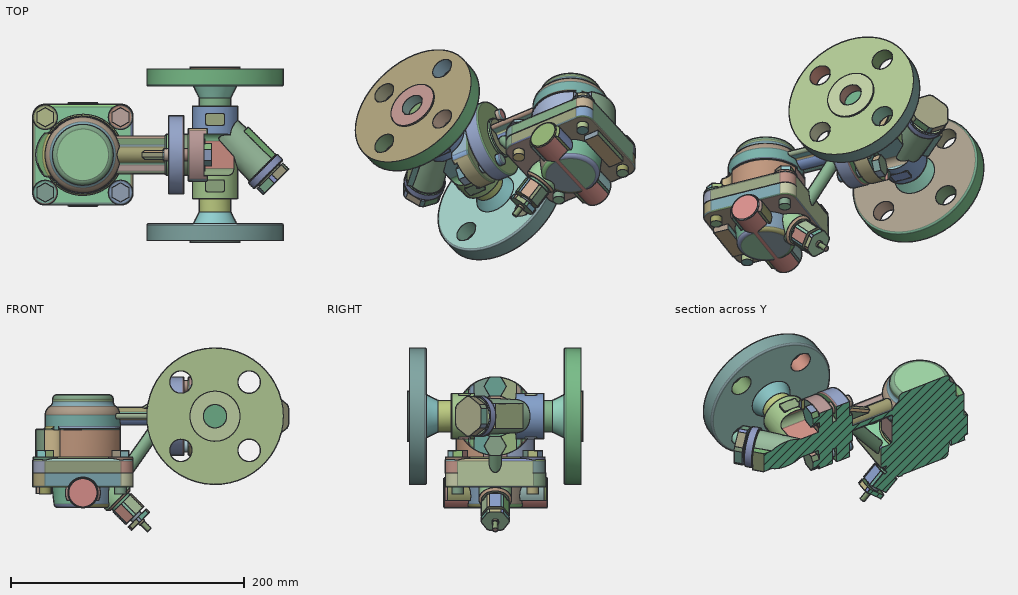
import cadquery as cq
import math


FACE_Y = 75.0
FLANGE_DIA = 117.0
RAISED_FACE_DIA = 42.9
RAISED_FACE_HEIGHT = 1.5
FLANGE_BACK_Y = 58.9
FLANGE_EDGE_FILLET = 1.5
FLANGE_HOLE_DIA = 19.0
FLANGE_HOLE_CIRCLE = 82.6
FLANGE_HOLE_COUNT = 4
BORE_DIA = 20.0
BORE_DEPTH = 10.5
NECK_DIA = 27.2
NECK_ROOT_DIA = 37.2
NECK_CONE_END_Y = 48.8
PIPE_START_Y = 30.0

BODY_DIA = 39.0
BODY_FRONT_Y = -37.7
BODY_BACK_Y = 41.9
BODY_END_CHAMFER = 0.5
PAD_X, PAD_Y, PAD_CORNER = 16.0, 10.3, 1.5
PAD_CENTERS_Y = (30.4, -26.5)
WAIST_HALF_HEIGHT = 11.0
WAIST_HALF_LENGTH = 17.7
WAIST_FILLET = 6.0

BRANCH_AXIS_OFFSET_Y = 29.1
BRANCH_ROOT = -8.0
BRANCH_SEAM = 36.6
COLLAR_END = 44.4
CAP_START = 46.0
CAP_END = 53.3
BRANCH_ROOT_RADIUS = 14.2
BRANCH_SEAM_RADIUS = 15.8
COLLAR_DIA = 35.0
COLLAR_CHAMFER = 0.8
GASKET_DIA = 25.0
CAP_FLATS = 31.0
CAP_TURNED_DIA = 33.8
LABEL_INNER, LABEL_OUTER = 11.2, 16.4
LABEL_START, LABEL_WIDTH = 3.2, 21.4

JOINT_RADIUS = 33.6
TRAP_PLATE_X = (-40.0, -26.6)
BODY_PLATE_X = (-23.0, -6.5)
BODY_PLATE_HALF_WIDTH = 22.7
BODY_PLATE_CORNER = 5.0
JOINT_EDGE_FILLET = 1.0
HUB_DIA = 35.4
HUB_START_X = -42.7
JOINT_BOLT_DIA = 10.5
JOINT_BOLT_START_X = -44.4
JOINT_BOLT_Z = 25.5
JOINT_HEAD_FLATS = 16.5
JOINT_HEAD_X = (-9.5, -3.1)
JOINT_HEAD_SLOT_HALF_WIDTH = 18.0

TRAP_X = -113.1
ARM_DIA = 15.4
ARM_WEB_WIDTH, ARM_WEB_THICKNESS, ARM_FILLET = 32.6, 4.9, 2.0
RIB_WIDTH, RIB_CHAMFER = 7.6, 2.0
RIB_TIP_X, RIB_FOOT_X, RIB_TOP_Z = -62.5, -44.5, 18.0
STRUT_DIA = 11.0
STRUT_TOP = (-42.4, 0.9)
STRUT_FOOT = (-77.9, -49.7)

DOME_TOP_Z = 18.5
CAP_FLAT_RADIUS = 22.0
CAP_RADIUS = 26.1
CAP_RIM_Z = 12.5
SHOULDER_START_RADIUS, SHOULDER_START_Z = 28.3, 8.5
DOME_RADIUS = 32.4
DOME_SIDE_TOP_Z = 1.0
DOME_ARC_RADIUS = 9.5
CAP_NECK_RADIUS = 4.5
HOUSING_TOP_Z = -11.0
HOUSING_RADIUS = 33.5
HOUSING_FILLET = 1.0
HOUSING_FLAT_X = 32.0
HOUSING_FOOT = 1.3
DOME_FLARE = 2.2
BULGE_RADIUS = 26.6
BULGE_OFFSET_X = -13.8
BOLT_CLEARANCE_DIA = 27.0

COVER_SIZE = 86.0
COVER_CORNER = 10.5
COVER_TOP_Z = -36.4
COVER_SPLIT_Z = -48.6
COVER_BOTTOM_Z = -60.6
LOWER_SHIFT_Y = 0.4
COVER_TOP_FILLET = 2.0
COVER_BOTTOM_FILLET = 0.8
BOLT_OFFSET = 32.2
BOLT_SEAT_DIA = 21.0
BOLT_SEAT_Z = -34.9
BOLT_SEAT_FILLET = 0.8
BOLT_HEAD_FLATS = 14.3
BOLT_HEAD_TOP_Z = -29.5
BOLT_DIA = 10.0
BOLT_END_Z = -66.7

BOWL_TOP_RADIUS = 26.6
BOWL_BOTTOM_RADIUS = 24.4
BOWL_BOTTOM_Z = -78.3
BOWL_FILLET = 3.5
LUG_OUTER_X, LUG_INNER_X = -153.2, -139.6
LUG_WIDTH = 40.0
LUG_BOTTOM_Z = -66.2
PORT_DIA = 25.8
PORT_Z = -65.5
PORT_HALF_LENGTH = 44.5
PORT_CHAMFER = 0.8
PORT_FLARE_DIA = 30.0
PORT_FLARE_FOOT_Z = -72.0
PORT_FLARE_DEPTH = 2.3

DRAIN_AXIS_SUM = -153.6
DRAIN_BOSS_START = -26.0
DRAIN_BOSS_END = -6.2
DRAIN_NUT_START = -3.8
DRAIN_NUT_END = 11.6
LOCKNUT_START = 14.4
LOCKNUT_END = 18.6
STEM_SHOULDER_END = 20.5
STEM_END = 29.0
DRAIN_BOSS_DIA = 28.0
DRAIN_BOSS_CHAMFER = 2.0
DRAIN_GASKET_DIA = 20.0
DRAIN_NUT_FLATS = 22.0
DRAIN_NUT_TURNED_DIA = 24.0
DRAIN_SPINDLE_DIA = 11.0
STEM_SHOULDER_DIA = 6.0
STEM_DIA = 4.6

JOIN = 1.0


def rod(plane, diameter, start, end):
    """Round bar along a plane's normal, between two distances from its origin."""
    return cq.Workplane(plane).workplane(offset=start).circle(diameter / 2).extrude(end - start)


def hexagon(plane, across_flats, start, end):
    """Hexagonal bar with two corners on the plane's local X axis."""
    across_corners = across_flats / math.cos(math.pi / 6)
    return cq.Workplane(plane).workplane(offset=start).polygon(6, across_corners).extrude(end - start)


def turned_hexagon(plane, across_flats, turned_diameter, start, end):
    """Hexagonal bar whose corners are turned off to a round diameter."""
    return hexagon(plane, across_flats, start, end).intersect(rod(plane, turned_diameter, start, end))


def axis_plane(origin, x_dir, normal):
    return cq.Plane(origin=origin, xDir=x_dir, normal=normal)


X_AXIS = axis_plane((0, 0, 0), (0, 1, 0), (1, 0, 0))
TRAP_AXIS = axis_plane((TRAP_X, 0, 0), (0, 1, 0), (0, 0, 1))
BRANCH_AXIS = axis_plane(
    (BRANCH_AXIS_OFFSET_Y / 2, BRANCH_AXIS_OFFSET_Y / 2, 0), (1, 1, 0), (1, -1, 0))
BRANCH_CAP_AXIS = axis_plane(BRANCH_AXIS.origin.toTuple(), (0, 0, 1), (1, -1, 0))
DRAIN_AXIS = axis_plane((DRAIN_AXIS_SUM / 2, 0, DRAIN_AXIS_SUM / 2), (0, 1, 0), (1, 0, -1))


def pipe_end():
    """Flange, tapered neck and pipe on the +Y side."""
    flange_front = FACE_Y - RAISED_FACE_HEIGHT
    outer = FLANGE_DIA / 2
    end = (
        cq.Workplane("XY")
        .moveTo(0, PIPE_START_Y)
        .lineTo(NECK_DIA / 2, PIPE_START_Y)
        .lineTo(NECK_DIA / 2, NECK_CONE_END_Y)
        .lineTo(NECK_ROOT_DIA / 2, FLANGE_BACK_Y)
        .lineTo(outer - FLANGE_EDGE_FILLET, FLANGE_BACK_Y)
        .radiusArc((outer, FLANGE_BACK_Y + FLANGE_EDGE_FILLET), -FLANGE_EDGE_FILLET)
        .lineTo(outer, flange_front)
        .lineTo(RAISED_FACE_DIA / 2, flange_front)
        .lineTo(RAISED_FACE_DIA / 2, FACE_Y)
        .lineTo(0, FACE_Y)
        .close()
        .revolve(360, (0, 0, 0), (0, 1, 0))
    )
    half_pitch_angle = 180 / FLANGE_HOLE_COUNT
    holes = (
        cq.Workplane("XZ", origin=(0, FACE_Y, 0))
        .polarArray(FLANGE_HOLE_CIRCLE / 2, half_pitch_angle, 360, FLANGE_HOLE_COUNT)
        .circle(FLANGE_HOLE_DIA / 2)
        .extrude(FACE_Y - FLANGE_BACK_Y)
    )
    bore = cq.Workplane("XZ", origin=(0, FACE_Y, 0)).circle(BORE_DIA / 2).extrude(BORE_DEPTH)
    return end.cut(holes).cut(bore)


def connector_body():
    """Round body with wrench pads and a flat waist above and below."""
    length = BODY_BACK_Y - BODY_FRONT_Y
    body = cq.Workplane("XZ", origin=(0, BODY_BACK_Y, 0)).circle(BODY_DIA / 2).extrude(length)
    body = body.faces("<Y or >Y").chamfer(BODY_END_CHAMFER)
    waist = (
        cq.Workplane("XY", origin=(0, 0, WAIST_HALF_HEIGHT))
        .rect(2 * BODY_DIA, 2 * WAIST_HALF_LENGTH)
        .extrude(BODY_DIA)
        .edges("|X and <Z")
        .fillet(WAIST_FILLET)
    )
    body = body.cut(waist).cut(waist.mirror("XY"))
    for center_y in PAD_CENTERS_Y:
        pad = cq.Workplane("XY").box(PAD_X, PAD_Y, BODY_DIA).edges("|Z").fillet(PAD_CORNER)
        body = body.union(pad.translate((0, center_y, 0)))
    return body


def strainer_branch():
    """Tapered branch with a label plate, a collar and a hexagonal cap."""
    branch = (
        cq.Workplane(BRANCH_AXIS)
        .workplane(offset=BRANCH_ROOT)
        .circle(BRANCH_ROOT_RADIUS)
        .workplane(offset=BRANCH_SEAM - BRANCH_ROOT)
        .circle(BRANCH_SEAM_RADIUS)
        .loft()
    )
    label = (
        cq.Workplane(BRANCH_AXIS)
        .workplane(offset=LABEL_START)
        .center((LABEL_INNER + LABEL_OUTER) / 2, 0)
        .rect(LABEL_OUTER - LABEL_INNER, LABEL_WIDTH)
        .extrude(BRANCH_SEAM - LABEL_START)
    )
    collar = rod(BRANCH_AXIS, COLLAR_DIA, BRANCH_SEAM, COLLAR_END)
    collar = collar.edges().chamfer(COLLAR_CHAMFER)
    gasket = rod(BRANCH_AXIS, GASKET_DIA, COLLAR_END - JOIN, CAP_START + JOIN)
    cap = turned_hexagon(BRANCH_CAP_AXIS, CAP_FLATS, CAP_TURNED_DIA, CAP_START, CAP_END)
    return branch.union(label).union(collar).union(gasket).union(cap)


def joint():
    """Two bolted plates between the trap arm and the connector body."""
    trap_start, trap_end = TRAP_PLATE_X
    body_start, body_end = BODY_PLATE_X
    head_start, head_end = JOINT_HEAD_X
    trap_plate = rod(X_AXIS, 2 * JOINT_RADIUS, trap_start, trap_end)
    trap_plate = trap_plate.edges().fillet(JOINT_EDGE_FILLET)

    body_plate = rod(X_AXIS, 2 * JOINT_RADIUS, body_start, body_end)
    sides = cq.Workplane(X_AXIS).workplane(offset=body_start).rect(
        2 * BODY_PLATE_HALF_WIDTH, 2 * JOINT_RADIUS).extrude(body_end - body_start)
    body_plate = body_plate.intersect(sides)
    body_plate = body_plate.edges("|X").fillet(BODY_PLATE_CORNER)
    body_plate = body_plate.faces("<X or >X").edges().fillet(JOINT_EDGE_FILLET)
    head_slot = cq.Workplane(X_AXIS).workplane(offset=head_start).rect(
        2 * JOINT_HEAD_SLOT_HALF_WIDTH, 2 * JOINT_RADIUS).extrude(body_end - head_start)
    body_plate = body_plate.cut(head_slot)

    neck = rod(X_AXIS, HUB_DIA, HUB_START_X, head_start + JOIN)
    neck = neck.faces("<X").chamfer(JOINT_EDGE_FILLET)
    plates = trap_plate.union(body_plate).union(neck)
    for bolt_z in (-JOINT_BOLT_Z, JOINT_BOLT_Z):
        bolt_axis = axis_plane((0, 0, bolt_z), (0, 1, 0), (1, 0, 0))
        shank = rod(bolt_axis, JOINT_BOLT_DIA, JOINT_BOLT_START_X, head_start)
        shank = shank.faces("<X").fillet(JOINT_EDGE_FILLET)
        head = hexagon(bolt_axis, JOINT_HEAD_FLATS, head_start, head_end)
        plates = plates.union(shank).union(head)
    return plates


def arm():
    """Horizontal passage with a flat web, a top rib and a sloping strut below."""
    arm_end = HUB_START_X + JOIN
    passage = rod(X_AXIS, ARM_DIA, TRAP_X, arm_end)
    web = cq.Workplane(X_AXIS).workplane(offset=TRAP_X).slot2D(
        ARM_WEB_WIDTH, ARM_WEB_THICKNESS).extrude(arm_end - TRAP_X)
    corners = cq.selectors.BoxSelector(
        (TRAP_X, -ARM_DIA / 2, -ARM_DIA / 2), (arm_end, ARM_DIA / 2, ARM_DIA / 2))
    passage = passage.union(web).edges("|X").edges(corners).fillet(ARM_FILLET)
    rib = (
        cq.Workplane("XZ", origin=(0, RIB_WIDTH / 2, 0))
        .moveTo(RIB_TIP_X, 0)
        .lineTo(RIB_TIP_X, ARM_DIA / 2)
        .lineTo(RIB_FOOT_X, RIB_TOP_Z)
        .lineTo(arm_end, RIB_TOP_Z)
        .lineTo(arm_end, 0)
        .close()
        .extrude(RIB_WIDTH)
    )
    slope = cq.Vector(RIB_FOOT_X - RIB_TIP_X, 0, RIB_TOP_Z - ARM_DIA / 2)
    rib = rib.edges(cq.selectors.ParallelDirSelector(slope)).chamfer(RIB_CHAMFER)
    top_x, top_z = STRUT_TOP
    foot_x, foot_z = STRUT_FOOT
    run = (foot_x - top_x, 0, foot_z - top_z)
    strut_axis = axis_plane((top_x, 0, top_z), (0, 1, 0), run)
    strut = rod(strut_axis, STRUT_DIA, 0, math.hypot(run[0], run[2]))
    return passage.union(rib).union(strut)


def dome():
    """Turned cap and dome, down to the top of the housing."""
    arc_start = (SHOULDER_START_RADIUS, SHOULDER_START_Z)
    return (
        cq.Workplane("XZ", origin=(TRAP_X, 0, 0))
        .moveTo(0, HOUSING_TOP_Z - JOIN)
        .lineTo(DOME_RADIUS, HOUSING_TOP_Z - JOIN)
        .lineTo(DOME_RADIUS, DOME_SIDE_TOP_Z)
        .radiusArc(arc_start, -DOME_ARC_RADIUS)
        .radiusArc((CAP_RADIUS, CAP_RIM_Z), CAP_NECK_RADIUS)
        .lineTo(CAP_RADIUS, DOME_TOP_Z - CAP_RADIUS + CAP_FLAT_RADIUS)
        .radiusArc((CAP_FLAT_RADIUS, DOME_TOP_Z), CAP_FLAT_RADIUS - CAP_RADIUS)
        .lineTo(0, DOME_TOP_Z)
        .close()
        .revolve(360, (0, 0, 0), (0, 1, 0))
    )


def bolt_rods(diameter, start, end):
    """Upright round bars at the four cover bolt positions."""
    return (
        cq.Workplane("XY", origin=(TRAP_X, 0, start))
        .rect(2 * BOLT_OFFSET, 2 * BOLT_OFFSET, forConstruction=True)
        .vertices()
        .circle(diameter / 2)
        .extrude(end - start)
    )


def housing_outline(start, end):
    """Upright solid of the housing outline: round, bulged toward -X, hollowed beside the -X bolts."""
    barrel = rod(TRAP_AXIS, 2 * HOUSING_RADIUS, start, end)
    beyond_flat = cq.Workplane("XY", origin=(TRAP_X + HOUSING_FLAT_X + HOUSING_RADIUS, 0, start)).rect(
        2 * HOUSING_RADIUS, 4 * HOUSING_RADIUS).extrude(end - start)
    bulge = rod(TRAP_AXIS, 2 * BULGE_RADIUS, start, end).translate((BULGE_OFFSET_X, 0, 0))
    outline = barrel.cut(beyond_flat).union(bulge)
    for bolt_y in (-BOLT_OFFSET, BOLT_OFFSET):
        bolt_axis = axis_plane((TRAP_X - BOLT_OFFSET, bolt_y, 0), (1, 0, 0), (0, 0, 1))
        outline = outline.cut(rod(bolt_axis, BOLT_CLEARANCE_DIA, start, end))
    return outline


def housing():
    """Housing with a sloped foot on the cover and a concave flare up to the dome."""
    shell = housing_outline(COVER_TOP_Z - JOIN, HOUSING_TOP_Z)
    shell = shell.faces(">Z").edges().fillet(HOUSING_FILLET)
    foot_top_z = COVER_TOP_Z + HOUSING_FOOT
    foot = (
        cq.Workplane("XY", origin=(TRAP_X, 0, COVER_TOP_Z))
        .circle(HOUSING_RADIUS + HOUSING_FOOT)
        .workplane(offset=HOUSING_FOOT)
        .circle(HOUSING_RADIUS)
        .loft()
    )
    foot = foot.cut(bolt_rods(BOLT_SEAT_DIA, COVER_TOP_Z, foot_top_z))
    flare_top_z = HOUSING_TOP_Z + DOME_FLARE
    flare = (
        cq.Workplane("XZ", origin=(TRAP_X, 0, 0))
        .moveTo(0, HOUSING_TOP_Z)
        .lineTo(DOME_RADIUS + DOME_FLARE, HOUSING_TOP_Z)
        .radiusArc((DOME_RADIUS, flare_top_z), DOME_FLARE)
        .lineTo(0, flare_top_z)
        .close()
        .revolve(360, (0, 0, 0), (0, 1, 0))
    )
    flare = flare.intersect(housing_outline(HOUSING_TOP_Z, flare_top_z))
    return shell.union(foot).union(flare)


def cover_plate(bottom_z, top_z):
    return (
        cq.Workplane("XY", origin=(TRAP_X, 0, bottom_z))
        .rect(COVER_SIZE, COVER_SIZE)
        .extrude(top_z - bottom_z)
        .edges("|Z")
        .fillet(COVER_CORNER)
    )


def cover():
    """Square bolted flange pair with four hexagon bolts."""
    upper = cover_plate(COVER_SPLIT_Z, COVER_TOP_Z)
    upper = upper.faces(">Z").edges().fillet(COVER_TOP_FILLET)
    lower = cover_plate(COVER_BOTTOM_Z, COVER_SPLIT_Z)
    lower = lower.faces("<Z").edges().fillet(COVER_BOTTOM_FILLET).translate((0, LOWER_SHIFT_Y, 0))
    seats = bolt_rods(BOLT_SEAT_DIA, COVER_TOP_Z - COVER_TOP_FILLET, BOLT_SEAT_Z)
    seats = seats.faces(">Z").edges().fillet(BOLT_SEAT_FILLET)
    shanks = bolt_rods(BOLT_DIA, BOLT_END_Z, BOLT_SEAT_Z)
    flange = upper.union(lower).union(seats).union(shanks)
    for x_side in (-1, 1):
        for y_side in (-1, 1):
            place = (TRAP_X + x_side * BOLT_OFFSET, y_side * BOLT_OFFSET, 0)
            head_axis = axis_plane(place, (0, 1, 0), (0, 0, 1))
            flange = flange.union(hexagon(head_axis, BOLT_HEAD_FLATS, BOLT_SEAT_Z, BOLT_HEAD_TOP_Z))
    return flange


def bowl():
    """Tapered bowl below the cover with two capped ports and a lug on the -X side."""
    top_z = COVER_BOTTOM_Z + JOIN
    cup = (
        cq.Workplane("XY", origin=(TRAP_X, 0, top_z))
        .circle(BOWL_TOP_RADIUS)
        .workplane(offset=BOWL_BOTTOM_Z - top_z)
        .circle(BOWL_BOTTOM_RADIUS)
        .loft()
        .faces("<Z")
        .edges()
        .fillet(BOWL_FILLET)
    )
    ports = cq.Workplane("XZ", origin=(TRAP_X, 0, PORT_Z)).circle(PORT_DIA / 2).extrude(
        PORT_HALF_LENGTH, both=True)
    ports = ports.faces("<Y or >Y").chamfer(PORT_CHAMFER)
    flare = cq.Workplane("XZ", origin=(TRAP_X, 0, PORT_Z)).circle(PORT_FLARE_DIA / 2).extrude(
        PORT_HALF_LENGTH - PORT_CHAMFER, both=True)
    flare = flare.faces("<Y or >Y").chamfer(PORT_FLARE_DEPTH)
    above_foot = cq.Workplane("XY", origin=(TRAP_X, 0, PORT_FLARE_FOOT_Z)).rect(
        PORT_FLARE_DIA, 2 * PORT_HALF_LENGTH).extrude(PORT_FLARE_DIA)
    ports = ports.union(flare.intersect(above_foot)).translate((0, LOWER_SHIFT_Y, 0))
    lug_length = LUG_INNER_X - LUG_OUTER_X
    lug = (
        cq.Workplane("XY", origin=(LUG_OUTER_X + lug_length / 2, 0, LUG_BOTTOM_Z))
        .rect(lug_length, LUG_WIDTH)
        .extrude(top_z - LUG_BOTTOM_Z)
    )
    return cup.union(ports).union(lug)


def drain_valve():
    """Boss, gasket, two hexagon nuts and a stepped stem."""
    boss = rod(DRAIN_AXIS, DRAIN_BOSS_DIA, DRAIN_BOSS_START, DRAIN_BOSS_END)
    far_end = cq.selectors.DirectionMinMaxSelector(cq.Vector(1, 0, -1))
    boss = boss.faces(far_end).chamfer(DRAIN_BOSS_CHAMFER)
    valve = boss.union(rod(DRAIN_AXIS, DRAIN_GASKET_DIA, DRAIN_BOSS_END - JOIN, DRAIN_NUT_START + JOIN))
    for start, end in ((DRAIN_NUT_START, DRAIN_NUT_END), (LOCKNUT_START, LOCKNUT_END)):
        nut = turned_hexagon(DRAIN_AXIS, DRAIN_NUT_FLATS, DRAIN_NUT_TURNED_DIA, start, end)
        valve = valve.union(nut)
    spindle = rod(DRAIN_AXIS, DRAIN_SPINDLE_DIA, DRAIN_NUT_END - JOIN, LOCKNUT_START + JOIN)
    shoulder = rod(DRAIN_AXIS, STEM_SHOULDER_DIA, LOCKNUT_END - JOIN, STEM_SHOULDER_END)
    stem = rod(DRAIN_AXIS, STEM_DIA, LOCKNUT_END - JOIN, STEM_END)
    return valve.union(spindle).union(shoulder).union(stem)


back_pipe = pipe_end()
front_pipe = back_pipe.mirror("XZ")
result = connector_body()
for piece in (
    back_pipe,
    front_pipe,
    strainer_branch(),
    joint(),
    arm(),
    dome(),
    housing(),
    cover(),
    bowl(),
    drain_valve(),
):
    result = result.union(piece)